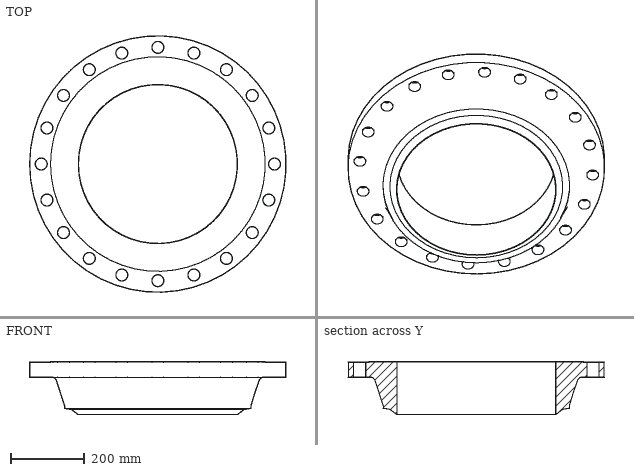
import cadquery as cq
import math

overall_length = 144.46
flange_diameter = 698.5
flange_thickness = 42.86
raised_face_diameter = 584.2
raised_face_height = 1.6
bore_diameter = 431.8

bolt_circle_diameter = 635.0
bolt_hole_diameter = 31.75
bolt_hole_count = 20

hub_base_diameter = 558.8
neck_diameter = 508.0
neck_straight_length = 6.35
hub_fillet_radius = 12.7

land_width = 1.6
steep_bevel_height = 13.5
steep_bevel_angle = 52.5
shallow_bevel_angle = 10.0

bore_radius = bore_diameter / 2
flange_radius = flange_diameter / 2
raised_face_radius = raised_face_diameter / 2
hub_base_radius = hub_base_diameter / 2
neck_radius = neck_diameter / 2
rim_top = -raised_face_height
flange_underside = -flange_thickness
weld_end = -overall_length
land_radius = bore_radius + land_width
bevel_knee_radius = land_radius + steep_bevel_height * math.tan(math.radians(steep_bevel_angle))
bevel_knee_level = weld_end + steep_bevel_height
shallow_bevel_rise = (neck_radius - bevel_knee_radius) * math.tan(math.radians(shallow_bevel_angle))
neck_bottom = bevel_knee_level + shallow_bevel_rise
neck_top = neck_bottom + neck_straight_length


def make_body():
    """Flange, tapered hub and weld end as one revolved section, swept from the -X side."""
    section = [
        (-bore_radius, 0),
        (-raised_face_radius, 0),
        (-raised_face_radius, rim_top),
        (-flange_radius, rim_top),
        (-flange_radius, flange_underside),
        (-hub_base_radius, flange_underside),
        (-neck_radius, neck_top),
        (-neck_radius, neck_bottom),
        (-bevel_knee_radius, bevel_knee_level),
        (-land_radius, weld_end),
        (-bore_radius, weld_end),
    ]
    return cq.Workplane("XZ").polyline(section).close().revolve(360, (0, 0, 0), (0, 1, 0))


def fillet_hub_root(body):
    """Round the inside corner between the hub and the flange underside."""
    underside = body.faces("%PLANE").faces(">Z[-3]")
    root_edge = underside.edges("%CIRCLE").edges(cq.selectors.RadiusNthSelector(0))
    return root_edge.fillet(hub_fillet_radius)


def make_bolt_holes():
    """Cutters for the ring of bolt holes through the flange."""
    return (
        cq.Workplane("XY", origin=(0, 0, flange_underside))
        .polarArray(bolt_circle_diameter / 2, 0, 360, bolt_hole_count)
        .circle(bolt_hole_diameter / 2)
        .extrude(flange_thickness)
    )


result = fillet_hub_root(make_body()).cut(make_bolt_holes())